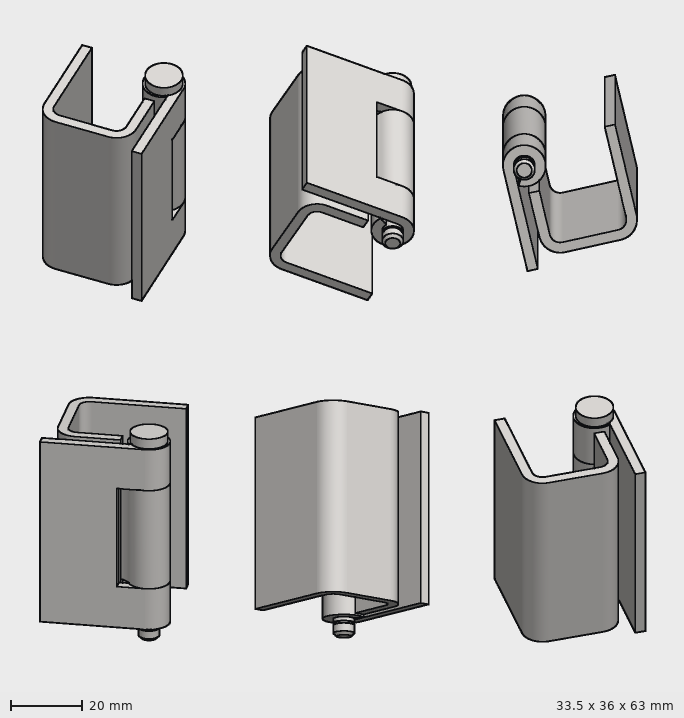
import cadquery as cq
import math


HINGE_WIDTH = 33.5
SHEET = 3.0
LEAF_HEIGHT = 55.0
PIN_RADIUS = 3.0
KNUCKLE_RADIUS = PIN_RADIUS + SHEET
END_KNUCKLE_HEIGHT = 12.5
MIDDLE_KNUCKLE_HEIGHT = LEAF_HEIGHT - 2 * END_KNUCKLE_HEIGHT
NOTCH_Y = -8.0

FLAT_LEAF_END_Y = -30.0
ROLL_END_GAP = 0.2

CHANNEL_WIDTH = 28.0
CHANNEL_BOTTOM_Y = -27.0
CHANNEL_LEFT_X = KNUCKLE_RADIUS - HINGE_WIDTH
CHANNEL_RIGHT_X = CHANNEL_LEFT_X + CHANNEL_WIDTH
CHANNEL_TOP_Y = KNUCKLE_RADIUS
CHANNEL_BEND_RADIUS = 2 * SHEET
NECK_RADIUS = 5.5

HEAD_RADIUS = 5.3
HEAD_HEIGHT = 3.0
PIN_PROTRUSION = 5.0
GROOVE_RADIUS = 2.55
GROOVE_WIDTH = 0.65
GROOVE_OFFSET = 1.1
TIP_CHAMFER = 0.9


def block(x_min, x_max, y_min, y_max, z_min, height):
    """Box given by its corner limits in plan."""
    box = cq.Workplane("XY").box(x_max - x_min, y_max - y_min, height, centered=False)
    return box.translate((x_min, y_min, z_min))


def polar(radius, angle, center=(0.0, 0.0)):
    """Plan point at a radius and angle (radians) about a center."""
    return (center[0] + radius * math.cos(angle), center[1] + radius * math.sin(angle))


def rolled_knuckle(end_angle, z_min, height):
    """Sheet rolled around the pin from the +X axis to the end angle (radians)."""
    middle = end_angle / 2
    return (
        cq.Workplane("XY", origin=(0, 0, z_min))
        .moveTo(PIN_RADIUS, 0)
        .lineTo(KNUCKLE_RADIUS, 0)
        .threePointArc(polar(KNUCKLE_RADIUS, middle), polar(KNUCKLE_RADIUS, end_angle))
        .lineTo(*polar(PIN_RADIUS, end_angle))
        .threePointArc(polar(PIN_RADIUS, middle), (PIN_RADIUS, 0))
        .close()
        .extrude(height)
    )


def make_flat_leaf():
    """Flat plate with a rolled knuckle at its bottom and top ends."""
    inner_face_x = KNUCKLE_RADIUS - SHEET
    roll_end = 2 * math.pi - math.acos((inner_face_x - ROLL_END_GAP) / KNUCKLE_RADIUS)
    leaf = block(inner_face_x, KNUCKLE_RADIUS, FLAT_LEAF_END_Y, NOTCH_Y, 0, LEAF_HEIGHT)
    for z_min in (0, LEAF_HEIGHT - END_KNUCKLE_HEIGHT):
        neck = block(inner_face_x, KNUCKLE_RADIUS, NOTCH_Y, 0, z_min, END_KNUCKLE_HEIGHT)
        roll = rolled_knuckle(roll_end, z_min, END_KNUCKLE_HEIGHT)
        leaf = leaf.union(neck).union(roll)
    return leaf


def make_channel():
    """U-shaped sheet with one long wall and one wall cut short at the notch line."""
    outer = block(
        CHANNEL_LEFT_X, CHANNEL_RIGHT_X, CHANNEL_BOTTOM_Y, CHANNEL_TOP_Y, 0, LEAF_HEIGHT
    ).edges("|Z and <Y").fillet(CHANNEL_BEND_RADIUS)
    inner = block(
        CHANNEL_LEFT_X + SHEET, CHANNEL_RIGHT_X - SHEET,
        CHANNEL_BOTTOM_Y + SHEET, CHANNEL_TOP_Y, 0, LEAF_HEIGHT,
    ).edges("|Z and <Y").fillet(CHANNEL_BEND_RADIUS - SHEET)
    above_short_wall = block(
        CHANNEL_RIGHT_X - SHEET, CHANNEL_RIGHT_X, NOTCH_Y, CHANNEL_TOP_Y, 0, LEAF_HEIGHT
    )
    return outer.cut(inner).cut(above_short_wall)


def make_neck():
    """Curved strip from the top of the short wall up to the middle knuckle."""
    right_corner = (CHANNEL_RIGHT_X, NOTCH_Y)
    left_corner = (CHANNEL_RIGHT_X - SHEET, NOTCH_Y)

    corner_distance = math.hypot(*right_corner)
    center_distance = KNUCKLE_RADIUS + NECK_RADIUS
    turn = math.acos(
        (corner_distance**2 + center_distance**2 - NECK_RADIUS**2)
        / (2 * corner_distance * center_distance)
    )
    center_angle = math.atan2(NOTCH_Y, CHANNEL_RIGHT_X) + turn
    center = polar(center_distance, center_angle)
    toward_pin = center_angle + math.pi

    def angle_from_center(point):
        return math.atan2(point[1] - center[1], point[0] - center[0])

    left_radius = math.dist(center, left_corner)
    right_middle = (angle_from_center(right_corner) + toward_pin) / 2
    left_middle = (angle_from_center(left_corner) + toward_pin) / 2
    return (
        cq.Workplane("XY", origin=(0, 0, END_KNUCKLE_HEIGHT))
        .moveTo(*right_corner)
        .threePointArc(
            polar(NECK_RADIUS, right_middle, center), polar(NECK_RADIUS, toward_pin, center)
        )
        .lineTo(*polar(left_radius, toward_pin, center))
        .threePointArc(polar(left_radius, left_middle, center), left_corner)
        .close()
        .extrude(MIDDLE_KNUCKLE_HEIGHT)
    )


def make_channel_leaf():
    """Channel whose short wall curves sideways into the middle knuckle."""
    knuckle = (
        cq.Workplane("XY", origin=(0, 0, END_KNUCKLE_HEIGHT))
        .circle(KNUCKLE_RADIUS)
        .extrude(MIDDLE_KNUCKLE_HEIGHT)
    )
    bore = cq.Workplane("XY").circle(PIN_RADIUS).extrude(LEAF_HEIGHT)
    return make_channel().union(make_neck()).union(knuckle).cut(bore)


def make_pin():
    """Headed pin with a retaining groove and a chamfered tip below the leaves."""
    groove_top = -GROOVE_OFFSET
    groove_bottom = groove_top - GROOVE_WIDTH
    head_top = LEAF_HEIGHT + HEAD_HEIGHT
    half_profile = [
        (0, -PIN_PROTRUSION),
        (PIN_RADIUS - TIP_CHAMFER, -PIN_PROTRUSION),
        (PIN_RADIUS, -PIN_PROTRUSION + TIP_CHAMFER),
        (PIN_RADIUS, groove_bottom),
        (GROOVE_RADIUS, groove_bottom),
        (GROOVE_RADIUS, groove_top),
        (PIN_RADIUS, groove_top),
        (PIN_RADIUS, LEAF_HEIGHT),
        (HEAD_RADIUS, LEAF_HEIGHT),
        (HEAD_RADIUS, head_top),
        (0, head_top),
    ]
    return cq.Workplane("XZ").polyline(half_profile).close().revolve(360, (0, 0), (0, 1))


flat_leaf = make_flat_leaf()
channel_leaf = make_channel_leaf()
pin = make_pin()

result = cq.Compound.makeCompound([flat_leaf.val(), channel_leaf.val(), pin.val()])